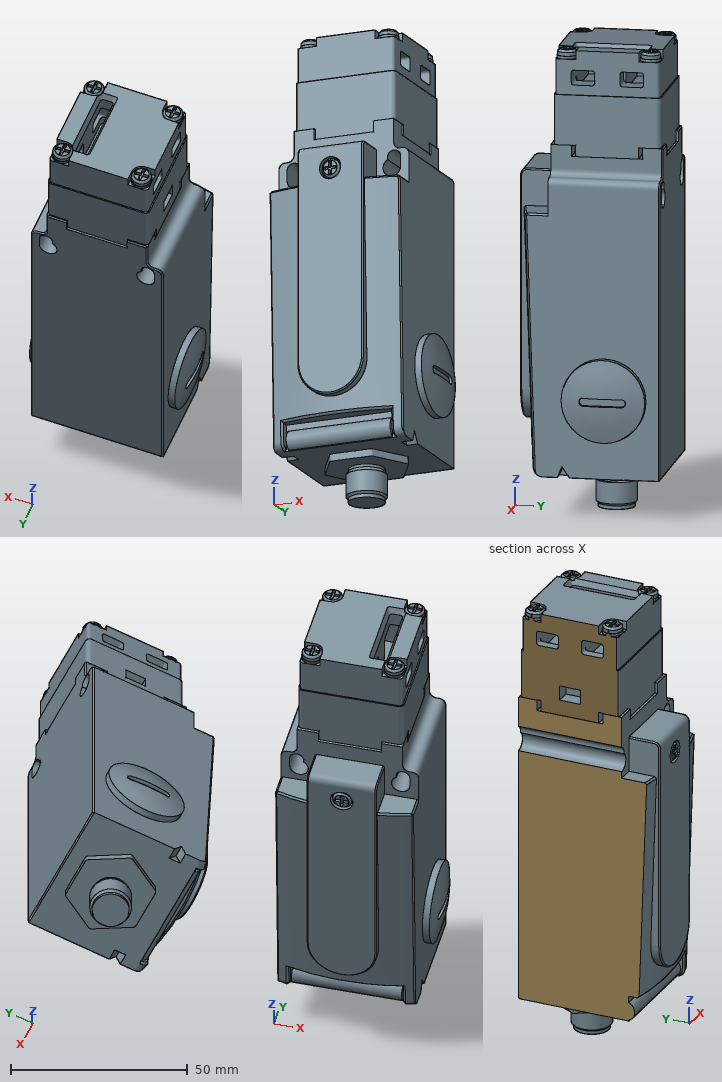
import cadquery as cq
import math


housing_half_width = 20.1
housing_back = 16.0
ear_front = -16.2
ear_top = 86.5
ear_rounding = 2.0
neck_half_width = 15.4
post_top = 95.6
notch_floor = 92.3
notch_half_x = 9.2
notch_half_y = 10.3
edge_break = 0.4
selection_margin = 0.1

keyhole_wide_radius = 2.7
keyhole_narrow_radius = 2.0
keyhole_outer_edge = 17.5
keyhole_wide_z = 81.1
keyhole_narrow_z = 84.1

lid_back = -14.5
lid_top = 76.4
lid_top_chamfer = 0.5
lid_bottom_rounding = 2.4
crown_radius = 74.2
crown_front_top = -25.5
crown_front_bottom = -23.0

pad_half_width = 10.1
pad_front = -25.9
pad_top = 87.2
pad_arc_z = 23.1
pad_top_rounding = 2.0
lid_screw_z = 80.0

hinge_pocket_half_width = 16.7
hinge_pocket_top = 7.8
hinge_pocket_wall = -18.4
hinge_mouth_chamfer = 0.7
hinge_half_width = 16.0
hinge_radius = 3.1
hinge_front = -20.2
hinge_notch_back = -10.0
hinge_notch_front = -13.5
hinge_notch_apex_y = -12.2
hinge_notch_height = 3.2

plug_z = 23.0
plug_radius = 12.0
plug_rim_face = 22.1
plug_crown_face = 47.9 / 2
plug_slot_length = 13.4
plug_slot_width = 2.3
plug_slot_depth = 1.4

head_top = 123.0
cap_bottom = 110.2
cap_half_width = 15.0
base_half_width = 15.4
head_flat_half_width = 14.0
key_half_y = 9.0
window_bottom = 113.0
window_height = 4.3
window_length = 6.8
window_y = 7.0
window_rounding = 0.8
cap_wall = 2.7
key_slot_x = 7.2
key_slot_width = 3.8
key_slot_length = 20.2
key_slot_rounding = 0.8
mouth_chamfer_width = 1.0
mouth_chamfer_depth = 1.8
base_pocket_z = 99.2
base_pocket_length = 6.3
base_pocket_height = 4.3
base_pocket_depth = 4.7

screw_flange_radius = 3.0
screw_flange_height = 0.8
screw_radius = 2.8
screw_head_height = 2.5
screw_chamfer = 0.7
screw_cross_length = 3.8
screw_cross_width = 0.8
screw_cross_depth = 1.1
screw_offset = 12.0
screw_recess_inner_edge = 9.0
screw_recess_depth = 2.5
lid_screw_recess_radius = 3.2
lid_screw_recess_depth = 2.5

flange_across_flats = 22.4
flange_thickness = 2.2
flange_corner_rounding = 1.1
connector_bottom = -12.0
barrel_radius = 6.0
barrel_top = -3.0
barrel_bottom = -11.0
collar_radius = 5.3
barrel_upper_chamfer = 1.1


def box(x0, x1, y0, y1, z0, z1):
    return cq.Workplane("XY").box(x1 - x0, y1 - y0, z1 - z0, centered=False).translate((x0, y0, z0))


def both_sides(shape):
    return shape.union(shape.mirror("YZ"))


def along_y(y, z, x=0.0):
    """Workplane facing -Y, with X to the right and Z up."""
    return cq.Workplane("XZ", origin=(x, y, z))


def screw_head():
    """Flanged screw head standing on Z = 0, with a cross recess."""
    head = cq.Workplane("XY").circle(screw_radius).extrude(screw_head_height)
    head = head.faces(">Z").edges().chamfer(screw_chamfer)
    head = head.union(cq.Workplane("XY").circle(screw_flange_radius).extrude(screw_flange_height))
    cross = (
        cq.Workplane("XY", origin=(0, 0, screw_head_height - screw_cross_depth))
        .rect(screw_cross_length, screw_cross_width)
        .extrude(screw_cross_depth)
    )
    return head.cut(cross).cut(cross.rotate((0, 0, 0), (0, 0, 1), 90))


def body_block():
    """Tall block with rounded ears and a narrower neck."""
    outer_x = housing_half_width - ear_rounding
    inner_x = neck_half_width + ear_rounding
    slant = ear_rounding * math.sqrt(0.5)
    half = (
        along_y(housing_back, 0)
        .lineTo(housing_half_width, 0)
        .lineTo(housing_half_width, ear_top - ear_rounding)
        .threePointArc((outer_x + slant, ear_top - ear_rounding + slant), (outer_x, ear_top))
        .lineTo(inner_x, ear_top)
        .threePointArc(
            (inner_x - slant, ear_top + ear_rounding - slant),
            (neck_half_width, ear_top + ear_rounding),
        )
        .lineTo(neck_half_width, post_top)
        .lineTo(0, post_top)
        .close()
        .extrude(housing_back - ear_front)
    )
    block = both_sides(half)
    return block.faces(">Y").edges().chamfer(edge_break)


def top_notches():
    across = box(-housing_half_width, housing_half_width, -notch_half_y, notch_half_y, notch_floor, post_top)
    through = box(-notch_half_x, notch_half_x, ear_front, housing_back, notch_floor, post_top)
    return across.union(through)


def keyholes():
    length = housing_back - ear_front
    wide_x = keyhole_outer_edge - keyhole_wide_radius
    narrow_x = keyhole_outer_edge - keyhole_narrow_radius
    wide = along_y(housing_back, keyhole_wide_z, wide_x).circle(keyhole_wide_radius).extrude(length)
    narrow = along_y(housing_back, keyhole_narrow_z, narrow_x).circle(keyhole_narrow_radius).extrude(length)
    link = box(narrow_x, keyhole_outer_edge, ear_front, housing_back, keyhole_wide_z, keyhole_narrow_z)
    return both_sides(wide.union(narrow).union(link))


def lid():
    """Block with a front curved across X and leaning back towards the bottom."""
    block = box(-housing_half_width, housing_half_width, pad_front, lid_back, 0, lid_top)
    tilt = math.degrees(math.atan((crown_front_bottom - crown_front_top) / lid_top))
    crown = (
        cq.Workplane("XY", origin=(0, crown_front_bottom + crown_radius, 0))
        .circle(crown_radius)
        .extrude(2 * lid_top, both=True)
        .rotate((0, crown_front_bottom, 0), (1, crown_front_bottom, 0), tilt)
    )
    block = block.intersect(crown)
    block = block.faces("<Y").edges("<X or >X").chamfer(edge_break)
    block = block.faces("<Z").edges("<Y").fillet(lid_bottom_rounding)
    block = block.cut(hinge_pocket())
    rim_half_width = hinge_pocket_half_width + selection_margin
    rim = cq.selectors.BoxSelector(
        (-rim_half_width, pad_front, selection_margin),
        (rim_half_width, hinge_front - selection_margin, hinge_pocket_top + selection_margin),
    )
    block = block.edges(rim).chamfer(hinge_mouth_chamfer)
    block = block.faces(">Z").edges("not >Y").chamfer(lid_top_chamfer)
    return block


def pad():
    outline = (
        along_y(ear_front, 0)
        .moveTo(-pad_half_width, pad_top)
        .lineTo(-pad_half_width, pad_arc_z)
        .threePointArc((0, pad_arc_z - pad_half_width), (pad_half_width, pad_arc_z))
        .lineTo(pad_half_width, pad_top)
        .close()
    )
    block = outline.extrude(ear_front - pad_front)
    block = block.faces("<Y").edges(">Z").fillet(pad_top_rounding)
    return block.faces("<Y").edges("not >Z").chamfer(edge_break)


def lid_screw_recess():
    floor = pad_front + lid_screw_recess_depth
    return along_y(floor, lid_screw_z).circle(lid_screw_recess_radius).extrude(lid_screw_recess_depth)


def lid_screw():
    floor = pad_front + lid_screw_recess_depth
    return screw_head().rotate((0, 0, 0), (1, 0, 0), 90).translate((0, floor, lid_screw_z))


def hinge_pocket():
    return box(-hinge_pocket_half_width, hinge_pocket_half_width, pad_front, hinge_pocket_wall,
               0, hinge_pocket_top)


def hinge_barrel():
    return (
        cq.Workplane("YZ", origin=(-hinge_half_width, hinge_front + hinge_radius, hinge_radius))
        .circle(hinge_radius)
        .extrude(2 * hinge_half_width)
    )


def hinge_notches():
    notch = (
        cq.Workplane("YZ", origin=(hinge_pocket_half_width, 0, 0))
        .polyline([(hinge_notch_back, 0), (hinge_notch_apex_y, hinge_notch_height), (hinge_notch_front, 0)])
        .close()
        .extrude(housing_half_width - hinge_pocket_half_width)
    )
    return both_sides(notch)


def plug():
    """Domed disc on the +X side with a driver slot."""
    dome_mid_face = plug_crown_face - (plug_crown_face - plug_rim_face) / 4
    disc = (
        cq.Workplane("XZ", origin=(0, 0, plug_z))
        .moveTo(housing_half_width, 0)
        .lineTo(plug_crown_face, 0)
        .threePointArc((dome_mid_face, plug_radius / 2), (plug_rim_face, plug_radius))
        .lineTo(housing_half_width, plug_radius)
        .close()
        .revolve(360, (0, 0, 0), (1, 0, 0))
    )
    slot = (
        cq.Workplane("YZ", origin=(plug_crown_face - plug_slot_depth, 0, plug_z))
        .slot2D(plug_slot_length, plug_slot_width)
        .extrude(plug_slot_depth)
    )
    return disc.cut(slot)


def make_housing():
    body = body_block().union(lid()).union(pad())
    body = body.cut(top_notches()).cut(keyholes()).cut(lid_screw_recess()).union(lid_screw())
    body = body.union(hinge_barrel()).cut(hinge_notches())
    return body.union(both_sides(plug()))


def rounded_block(half_width, bottom, top):
    side = 2 * half_width
    block = cq.Workplane("XY", origin=(0, 0, bottom)).rect(side, side).extrude(top - bottom)
    return block.edges("|Z").fillet(half_width - head_flat_half_width)


def locating_key():
    """Cross-shaped key filling the notches, with a slit on both sides of the bar along X."""
    side = base_half_width
    key = box(-side, side, -key_half_y, key_half_y, notch_floor, post_top)
    tab = box(-notch_half_x, notch_half_x, notch_half_y, side, notch_floor, post_top)
    return key.union(tab).union(tab.mirror("XZ"))


def cap_windows():
    """Windows through the cap along X, each with a well behind the -X wall."""
    side = cap_half_width
    cuts = cq.Workplane("XY")
    for y in (-window_y, window_y):
        y0 = y - window_length / 2
        y1 = y + window_length / 2
        window = box(-side, side, y0, y1, window_bottom, window_bottom + window_height)
        well = box(-side + cap_wall, key_slot_x, y0, y1, cap_bottom, window_bottom + window_height / 2)
        cuts = cuts.union(window.edges("|X").fillet(window_rounding)).union(well)
    return cuts


def key_slot():
    """Slot for the actuator key, with a flared mouth."""
    def outline(growth):
        rectangle = cq.Sketch().rect(key_slot_width + growth, key_slot_length + growth)
        return rectangle.vertices().fillet(key_slot_rounding)

    slot = (
        cq.Workplane("XY", origin=(key_slot_x, 0, cap_bottom))
        .placeSketch(outline(0))
        .extrude(head_top - cap_bottom)
    )
    rim = outline(2 * mouth_chamfer_width).moved(cq.Location((0, 0, mouth_chamfer_depth)))
    mouth = (
        cq.Workplane("XY", origin=(key_slot_x, 0, head_top - mouth_chamfer_depth))
        .placeSketch(outline(0), rim)
        .loft()
    )
    return slot.union(mouth)


def base_pocket():
    half_length = base_pocket_length / 2
    half_height = base_pocket_height / 2
    return box(
        -base_half_width, -base_half_width + base_pocket_depth,
        -half_length, half_length,
        base_pocket_z - half_height, base_pocket_z + half_height,
    )


def at_four_corners(shape):
    pair = shape.union(shape.mirror("YZ"))
    return pair.union(pair.mirror("XZ"))


def corner_recess():
    recess = box(
        screw_recess_inner_edge, cap_half_width,
        screw_recess_inner_edge, cap_half_width,
        head_top - screw_recess_depth, head_top,
    )
    return recess.edges("|Z and <X and <Y").fillet(screw_flange_radius)


def corner_screw():
    return screw_head().translate((screw_offset, screw_offset, head_top - screw_recess_depth))


def make_head():
    head = rounded_block(cap_half_width, cap_bottom, head_top)
    head = head.union(rounded_block(base_half_width, post_top, cap_bottom)).union(locating_key())
    head = head.cut(cap_windows()).cut(key_slot()).cut(base_pocket())
    return head.cut(at_four_corners(corner_recess())).union(at_four_corners(corner_screw()))


def make_connector():
    corner_diameter = flange_across_flats / math.cos(math.pi / 6)
    flange = cq.Workplane("XY").polygon(6, corner_diameter).extrude(-flange_thickness)
    flange = flange.edges("|Z").fillet(flange_corner_rounding)
    collar = cq.Workplane("XY").circle(collar_radius).extrude(connector_bottom)
    barrel = cq.Workplane("XY", origin=(0, 0, barrel_bottom)).circle(barrel_radius)
    barrel = barrel.extrude(barrel_top - barrel_bottom)
    step = barrel_radius - collar_radius
    barrel = barrel.faces(">Z").chamfer(barrel_upper_chamfer, step).faces("<Z").chamfer(step)
    return flange.union(collar).union(barrel)


housing = make_housing()
head = make_head()
connector = make_connector()
result = cq.Compound.makeCompound([housing.val(), head.val(), connector.val()])